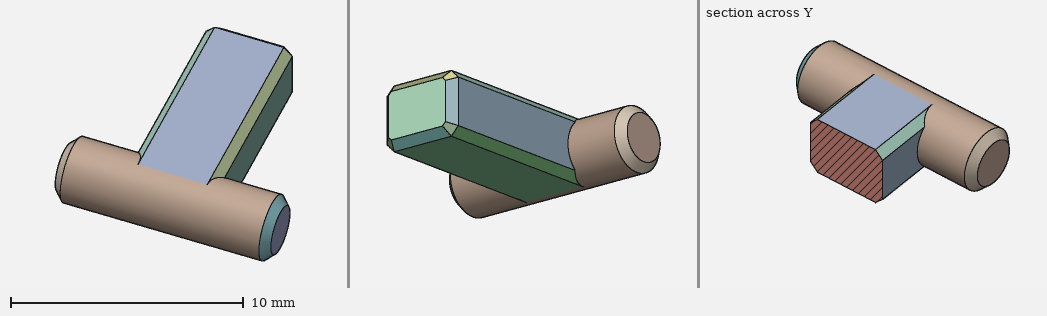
import cadquery as cq

total_length = 10.7
pin_diameter = 3.0
pin_length = 10.0
shank_width = 4.0
chamfer = 0.4

pin_radius = pin_diameter / 2
shank_length = total_length - pin_radius


def make_pin():
    """Cross pin along X, centred on the origin, with chamfered ends."""
    pin = cq.Workplane("YZ").circle(pin_radius).extrude(pin_length / 2, both=True)
    return pin.faces("<X or >X").chamfer(chamfer)


def make_shank():
    """Bar from the pin axis towards +Y, as thick as the pin."""
    shank = cq.Workplane("XY").box(
        shank_width, shank_length, pin_diameter, centered=(True, False, True)
    )
    return shank.edges("|Y").chamfer(chamfer).faces(">Y").chamfer(chamfer)


result = make_pin().union(make_shank())